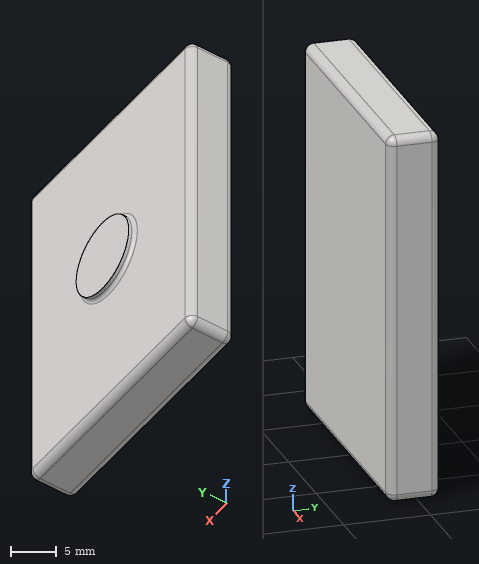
import cadquery as cq

width = 31.0
height = 43.0
total_depth = 6.9
boss_height = 0.85
block_depth = total_depth - boss_height
edge_radius = 1.0

boss_diameter = 10.0
boss_base_radius = 0.45


def make_block():
    """Plate centred on the origin with every edge rounded."""
    return cq.Workplane("XY").box(width, block_depth, height).edges().fillet(edge_radius)


def add_boss(block):
    """Add the boss and blend its foot into the plate with a concave fillet."""
    boss_foot = cq.Workplane("XZ", origin=(0, block_depth / 2, 0))
    boss = boss_foot.circle(boss_diameter / 2).extrude(-boss_height)
    joined = block.union(boss)
    foot_edge = joined.faces(">Y[-2]").edges("%CIRCLE")
    return joined.newObject(foot_edge.vals()).fillet(boss_base_radius)


result = add_boss(make_block())